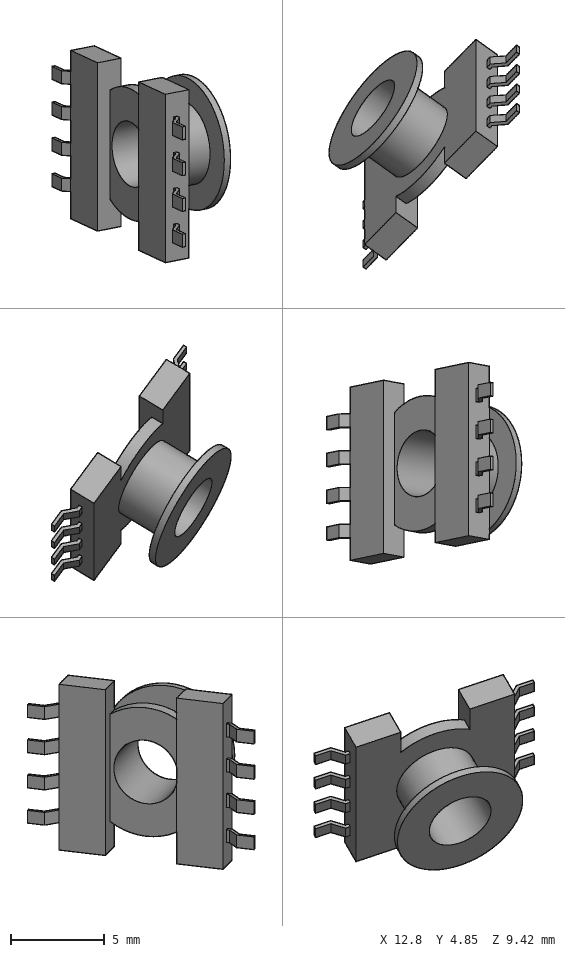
import cadquery as cq
import math


flange_diameter = 7.3
tube_diameter = 4.5
bore_diameter = 3.6
front_flange_thickness = 0.71
rear_flange_thickness = 0.41
winding_length = 2.88

bar_width = 2.61
bar_depth = 1.5
bar_height = 9.42
bar_gap = 4.02
bar_standoff = 0.06

overall_length = 12.75
pins_per_bar = 4
pin_pitch = 2.0
pin_width = 0.73
pin_thickness = 0.2
foot_length = 0.97
pin_rise = 0.6
bend_angle = 45

bar_inner_x = bar_gap / 2
bar_outer_x = bar_inner_x + bar_width
bar_rear_y = bar_standoff + bar_depth
flange_front_y = bar_rear_y - front_flange_thickness
rear_flange_y = bar_rear_y + winding_length
spool_rear_y = rear_flange_y + rear_flange_thickness


def cylinder_along_y(diameter, start_y, end_y):
    """Solid cylinder on the winding axis between two Y positions."""
    return (
        cq.Workplane("XZ", origin=(0, start_y, 0))
        .circle(diameter / 2)
        .extrude(start_y - end_y)
    )


def make_spool():
    """Two round flanges joined by the winding tube, not yet bored."""
    front_flange = cylinder_along_y(flange_diameter, flange_front_y, bar_rear_y)
    tube = cylinder_along_y(tube_diameter, flange_front_y, spool_rear_y)
    rear_flange = cylinder_along_y(flange_diameter, rear_flange_y, spool_rear_y)
    return front_flange.union(tube).union(rear_flange)


def make_bar():
    """Terminal bar on the +X side, flush with the rear of the front flange."""
    return cq.Workplane("XY").box(bar_width, bar_depth, bar_height).translate(
        ((bar_inner_x + bar_outer_x) / 2, bar_standoff + bar_depth / 2, 0)
    )


def make_pin(center_z):
    """Bent strip pin on the +X side: flat foot, sloped leg and stub into the bar."""
    tip_x = overall_length / 2
    heel_x = tip_x - foot_length
    knee_x = heel_x - pin_rise / math.tan(math.radians(bend_angle))
    bend_shift = pin_thickness * math.tan(math.radians(bend_angle / 2))
    profile = [
        (tip_x, 0),
        (heel_x, 0),
        (knee_x, pin_rise),
        (bar_outer_x, pin_rise),
        (bar_outer_x, pin_rise + pin_thickness),
        (knee_x + bend_shift, pin_rise + pin_thickness),
        (heel_x + bend_shift, pin_thickness),
        (tip_x, pin_thickness),
    ]
    return (
        cq.Workplane("XY", origin=(0, 0, center_z - pin_width / 2))
        .polyline(profile)
        .close()
        .extrude(pin_width)
    )


def make_terminal_side():
    """Bar on the +X side with its evenly spaced row of pins."""
    side = make_bar()
    for index in range(pins_per_bar):
        center_z = (index - (pins_per_bar - 1) / 2) * pin_pitch
        side = side.union(make_pin(center_z))
    return side


terminal_side = make_terminal_side()
bore = cylinder_along_y(bore_diameter, flange_front_y, spool_rear_y)

result = (
    make_spool()
    .union(terminal_side)
    .union(terminal_side.mirror("YZ"))
    .cut(bore)
)